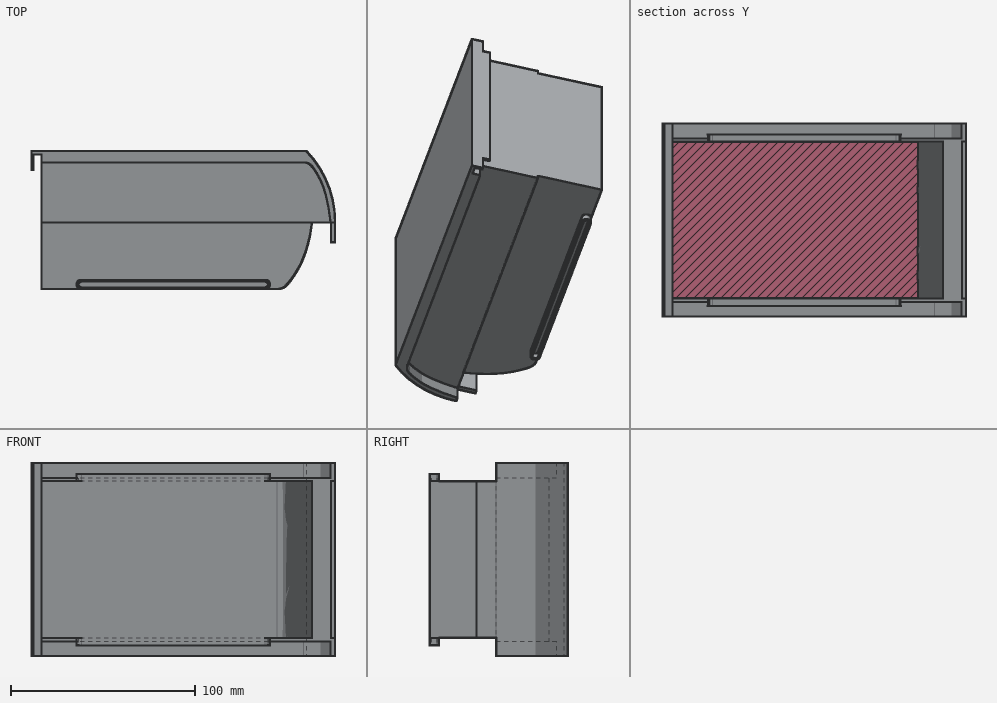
import cadquery as cq
import math

LENGTH = 165.0
DEPTH = 75.0
HEIGHT = 105.0

BODY_LEFT = 5.5
REAR_HEIGHT = 88.8
FRONT_HEIGHT = 85.1
STEP_Y = 36.1

WALL_END_LEAN = 7
FRONT_BEND_START_X = 133.3
FRONT_BEND_POINT = (140.2, 4.0)
FRONT_WALL_END_X = 152.5
REAR_BEND_START_X = 147.8
REAR_BEND_POINT = (153.5, 65.3)
REAR_WALL_END_X = 162.5

RIM_WIDTH = 6.3
RIM_INNER_Y = DEPTH - RIM_WIDTH
RIM_CORNER_X = 149.3
RIM_ARC_MID = (158.5, 62.4)

HOOK_TOP = 2.0
HOOK_WALL = 1.2
HOOK_DEPTH = 10.2

LIP_THICKNESS = 2.3
LIP_LEFT = LENGTH - LIP_THICKNESS
LIP_BOTTOM_Y = 25.4

RAIL_START_X = 24.6
RAIL_END_X = 129.5
RAIL_WIDTH = 5.1
RAIL_WALL = 1.0
RAIL_HEIGHT = 4.0


def centred_prism(profile, height):
    """Extrude an XY outline to the given height, centred on Z = 0."""
    return profile.extrude(height).translate((0, 0, -height / 2))


def centred_block(x_start, x_end, y_start, y_end, height):
    """Box between X and Y limits, centred about Z = 0."""
    return cq.Workplane("XY").box(
        x_end - x_start, y_end - y_start, height, centered=(False, False, True)
    ).translate((x_start, y_start, 0))


def curved_end_block(y_start, bend_start_x, bend_point, wall_end_x, height):
    """Block from y_start to the step, its right end a smooth curve."""
    lean = math.radians(WALL_END_LEAN)
    end_direction = (math.sin(lean), math.copysign(math.cos(lean), STEP_Y - y_start))
    profile = (
        cq.Workplane("XY")
        .moveTo(BODY_LEFT, y_start)
        .lineTo(bend_start_x, y_start)
        .spline([bend_point, (wall_end_x, STEP_Y)], tangents=[(1, 0), end_direction], includeCurrent=True)
        .lineTo(BODY_LEFT, STEP_Y)
        .close()
    )
    return centred_prism(profile, height)


def rear_block(height):
    return curved_end_block(RIM_INNER_Y, REAR_BEND_START_X, REAR_BEND_POINT, REAR_WALL_END_X, height)


def front_block():
    return curved_end_block(0, FRONT_BEND_START_X, FRONT_BEND_POINT, FRONT_WALL_END_X, FRONT_HEIGHT)


def rim():
    """Full-height outer outline with the rear block outline removed from it."""
    profile = (
        cq.Workplane("XY")
        .moveTo(BODY_LEFT, DEPTH)
        .lineTo(RIM_CORNER_X, DEPTH)
        .threePointArc(RIM_ARC_MID, (LENGTH, STEP_Y))
        .lineTo(BODY_LEFT, STEP_Y)
        .close()
    )
    return centred_prism(profile, HEIGHT).cut(rear_block(HEIGHT))


def hook():
    top = centred_block(0, BODY_LEFT, DEPTH - HOOK_TOP, DEPTH, HEIGHT)
    end_walls = centred_block(0, HOOK_WALL, RIM_INNER_Y, DEPTH, HEIGHT)
    middle_wall = centred_block(0, HOOK_WALL, DEPTH - HOOK_DEPTH, DEPTH, REAR_HEIGHT)
    return top.union(end_walls).union(middle_wall)


def lip():
    """Wall hanging below the step, flush with the outer end of the rim."""
    return centred_block(LIP_LEFT, LENGTH, LIP_BOTTOM_Y, STEP_Y, FRONT_HEIGHT)


def rail():
    """Obround ring standing on the upper face of the front block."""
    length = RAIL_END_X - RAIL_START_X
    centre = ((RAIL_START_X + RAIL_END_X) / 2, RAIL_WIDTH / 2)
    face = cq.Workplane("XY", origin=(0, 0, FRONT_HEIGHT / 2)).center(*centre)
    outer = face.slot2D(length, RAIL_WIDTH).extrude(RAIL_HEIGHT)
    inner = face.slot2D(length - 2 * RAIL_WALL, RAIL_WIDTH - 2 * RAIL_WALL).extrude(RAIL_HEIGHT)
    return outer.cut(inner)


upper_rail = rail()
result = (
    front_block()
    .union(rear_block(REAR_HEIGHT))
    .union(rim())
    .union(hook())
    .union(lip())
    .union(upper_rail)
    .union(upper_rail.mirror("XY"))
)